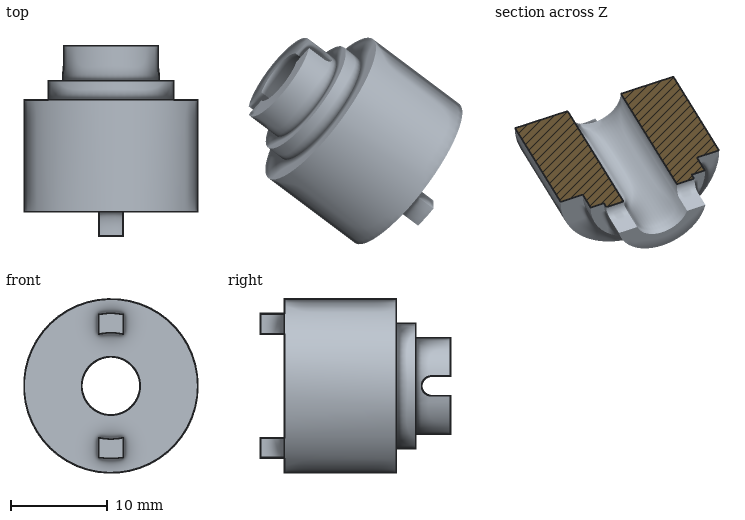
import cadquery as cq

total_length = 19.7
pin_length = 2.5
collar_length = 2.0
neck_length = 3.6
body_length = total_length - pin_length - collar_length - neck_length

body_diameter = 18.0
collar_diameter = 13.0
neck_diameter = 10.0
bore_diameter = 6.0

pin_width = 2.5
pin_outer_diameter = 15.01
pin_inner_diameter = 11.01

slot_width = 2.0
slot_depth = 3.0

collar_start = body_length
neck_start = collar_start + collar_length
neck_end = neck_start + neck_length


def cylinder(diameter, start, length):
    """Cylinder along +Y beginning at Y = start."""
    plane = cq.Workplane("XZ", origin=(0, start, 0))
    return plane.circle(diameter / 2).extrude(-length)


def drive_pins():
    """Two opposed pins, above and below the axis, on the front face."""
    outer = cylinder(pin_outer_diameter, -pin_length, pin_length)
    inner = cylinder(pin_inner_diameter, -pin_length, pin_length)
    strip = cq.Workplane("XY").box(pin_width, pin_length, pin_outer_diameter)
    return outer.cut(inner).intersect(strip.translate((0, -pin_length / 2, 0)))


def neck_slot():
    """Slot along X, open at the neck end and closed by a half round."""
    radius = slot_width / 2
    bottom = neck_end - slot_depth
    return (
        cq.Workplane("YZ")
        .moveTo(neck_end, -radius)
        .lineTo(bottom + radius, -radius)
        .threePointArc((bottom, 0), (bottom + radius, radius))
        .lineTo(neck_end, radius)
        .close()
        .extrude(neck_diameter / 2, both=True)
    )


result = (
    cylinder(body_diameter, 0, body_length)
    .union(cylinder(collar_diameter, collar_start, collar_length))
    .union(cylinder(neck_diameter, neck_start, neck_length))
    .union(drive_pins())
    .cut(cylinder(bore_diameter, 0, neck_end))
    .cut(neck_slot())
)